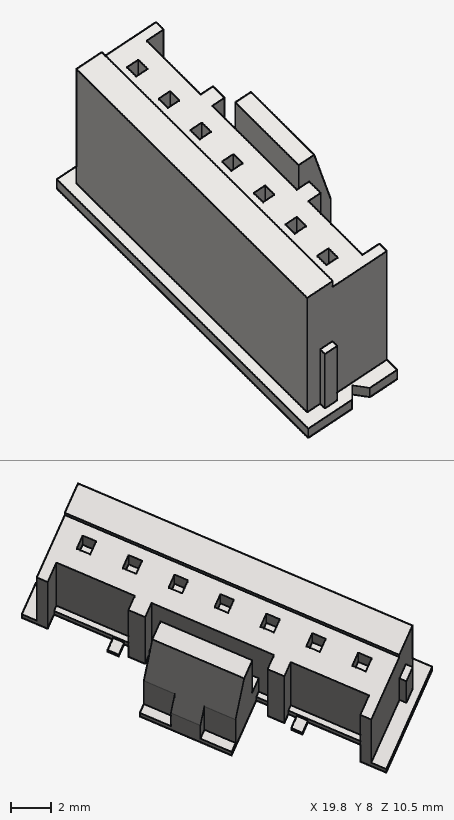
import cadquery as cq

plate_width = 19.8
plate_depth = 5.72
plate_height = 0.8
rear_recess_y = 4.93

body_width = 18.18
body_front_y = 0.6
body_rear_y = 4.63
body_top_z = 10.0
total_height = 10.5
front_lip_rear_y = 2.24
end_wall_thickness = 0.6

end_rib_projection = 0.38
end_rib_front_y = 1.43
end_rib_depth = 0.8
end_rib_top_z = 5.4

contact_count = 7
contact_pitch = 2.5
contact_size = 0.73
contact_y = 3.2
contact_depth = 1.98

notch_depth = 0.67
notch_half_width = 0.57
notch_y = 3.39

rear_rib_x = 3.78
rear_rib_width = 0.91
rear_rib_y = 5.43
peg_x = 4.99
peg_width = 0.61
peg_rear_y = 5.6
peg_height = plate_height / 2

latch_width = 4.99
latch_front_y = rear_rib_y
latch_top_rear_y = 6.44
latch_rear_y = 8.0
latch_knee_z = 3.62
latch_side_rear_y = 7.5
latch_spine_width = 1.6


def block(x_center, width, y_start, y_end, z_start, z_end):
    """Upright box centred on x_center and running between the given Y and Z limits."""
    return (
        cq.Workplane("XY")
        .box(width, y_end - y_start, z_end - z_start, centered=(True, False, False))
        .translate((x_center, y_start, z_start))
    )


def make_plate():
    plate = block(0, plate_width, 0, plate_depth, 0, plate_height)
    recess_width = body_width - 2 * end_wall_thickness
    plate = plate.cut(block(0, recess_width, rear_recess_y, plate_depth, 0, plate_height))
    end_x = plate_width / 2
    notch = (
        cq.Workplane("XY")
        .moveTo(end_x, notch_y - notch_half_width)
        .lineTo(end_x - notch_depth, notch_y)
        .lineTo(end_x, notch_y + notch_half_width)
        .close()
        .extrude(plate_height)
    )
    return plate.cut(notch)


def make_housing():
    housing = block(0, body_width, body_front_y, body_rear_y, 0, body_top_z)
    front_lip = block(0, body_width, body_front_y, front_lip_rear_y, 0, total_height)
    housing = housing.union(front_lip)
    rib_width = body_width + 2 * end_rib_projection
    rib_rear_y = end_rib_front_y + end_rib_depth
    housing = housing.union(block(0, rib_width, end_rib_front_y, rib_rear_y, 0, end_rib_top_z))
    wall_x = (body_width - end_wall_thickness) / 2
    for side in (-1, 1):
        wall = block(side * wall_x, end_wall_thickness, body_front_y, plate_depth, 0, body_top_z)
        rear_rib = block(side * rear_rib_x, rear_rib_width, body_front_y, rear_rib_y, 0, body_top_z)
        peg = block(side * peg_x, peg_width, body_front_y, peg_rear_y, 0, peg_height)
        housing = housing.union(wall).union(rear_rib).union(peg)
    return housing


def make_latch():
    """Sloped arm rising from a root at the rear wall, with a full-depth spine in the middle."""
    arm = (
        cq.Workplane("YZ")
        .moveTo(latch_front_y, 0)
        .lineTo(latch_rear_y, 0)
        .lineTo(latch_rear_y, latch_knee_z)
        .lineTo(latch_top_rear_y, total_height)
        .lineTo(latch_front_y, total_height)
        .close()
        .extrude(latch_width / 2, both=True)
    )
    shoulder_width = (latch_width - latch_spine_width) / 2
    shoulder_x = (latch_width + latch_spine_width) / 4
    for side in (-1, 1):
        shoulder_cut = block(
            side * shoulder_x,
            shoulder_width,
            latch_side_rear_y,
            latch_rear_y,
            plate_height,
            total_height,
        )
        arm = arm.cut(shoulder_cut)
    root = block(0, latch_width, body_rear_y, latch_front_y, 0, latch_knee_z)
    return arm.union(root)


def make_contact_openings():
    return (
        cq.Workplane("XY", origin=(0, contact_y, body_top_z))
        .rarray(contact_pitch, 0.2, contact_count, 1)
        .rect(contact_size, contact_size)
        .extrude(-contact_depth)
    )


result = make_plate().union(make_housing()).union(make_latch()).cut(make_contact_openings())